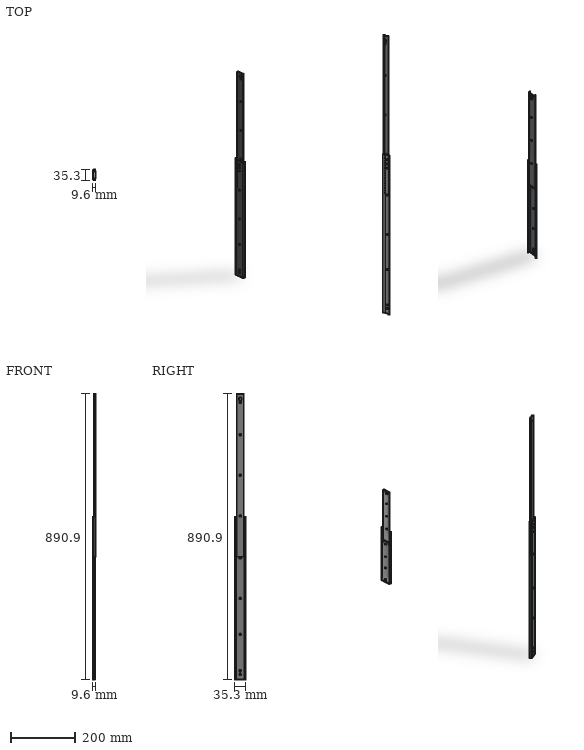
import cadquery as cq
import math


slide_depth = 9.6
slide_width = 35.3
slide_length = 890.9
rail_length = 508.0
sheet = 1.5

back = -slide_depth / 2
front = slide_depth / 2
outer_bottom = -slide_length / 2
inner_bottom = slide_length / 2 - rail_length

web_half_width = 13.4
slope_tilt = math.radians(41)
shoulder_depth = 2.37
flange_front = 3.0
corner_cut = 2.0

inner_half_width = 11.6
inner_flange_back = -1.4
bend_radius = 2.3

hole_diameter = 4.6
outer_hole_heights = [16.4, 28.0, 141.0, 253.6, 379.8, 465.5, 479.0, 492.5]
inner_hole_heights = [127.6, 254.5, 380.6]
keyhole_height = 491.8
keyhole_diameter = 9.0
keyhole_tail = 10.2


def outer_rail_outline(inset):
    """Half section line at `inset` inside the outer face: web end, then arc start, middle and end."""
    web_end_y = web_half_width - inset * math.tan(slope_tilt / 2)
    slope_start_y = web_half_width + shoulder_depth / math.tan(slope_tilt)
    radius = (slide_width / 2 - slope_start_y) / (1 - math.sin(slope_tilt))
    centre_x = back + shoulder_depth + radius * math.cos(slope_tilt)
    centre_y = slide_width / 2 - radius
    inset_radius = radius - inset
    end_x = flange_front - centre_x
    end_y = math.sqrt(inset_radius**2 - end_x**2)
    end_angle = math.atan2(end_y, -end_x)

    def on_arc(angle):
        return (centre_x - inset_radius * math.cos(angle), centre_y + inset_radius * math.sin(angle))

    middle_angle = (slope_tilt + end_angle) / 2
    return (back + inset, web_end_y), on_arc(slope_tilt), on_arc(middle_angle), on_arc(end_angle)


def mirrored(point):
    """The point on the opposite side of the section, across Y = 0."""
    return (point[0], -point[1])


def holes(diameter, bottom, heights):
    """Round cutters along X on the centre line, at the given heights above `bottom`."""
    return (
        cq.Workplane("YZ", origin=(0, 0, bottom))
        .pushPoints([(0, height) for height in heights])
        .circle(diameter / 2)
        .extrude(slide_depth, both=True)
    )


def make_outer_rail():
    web, start, middle, end = outer_rail_outline(0)
    in_web, in_start, in_middle, in_end = outer_rail_outline(sheet)
    rail = (
        cq.Workplane("XY", origin=(0, 0, outer_bottom))
        .moveTo(*mirrored(web))
        .lineTo(*web)
        .lineTo(*start)
        .threePointArc(middle, end)
        .lineTo(*in_end)
        .threePointArc(in_middle, in_start)
        .lineTo(*in_web)
        .lineTo(*mirrored(in_web))
        .lineTo(*mirrored(in_start))
        .threePointArc(mirrored(in_middle), mirrored(in_end))
        .lineTo(*mirrored(end))
        .threePointArc(mirrored(middle), mirrored(start))
        .close()
        .extrude(rail_length)
    )
    corner = (
        cq.Workplane("XZ")
        .moveTo(flange_front, outer_bottom)
        .lineTo(flange_front - corner_cut, outer_bottom)
        .lineTo(flange_front, outer_bottom + corner_cut)
        .close()
        .extrude(slide_width, both=True)
    )
    return rail.cut(corner).cut(holes(hole_diameter, outer_bottom, outer_hole_heights))


def make_inner_rail():
    depth = front - inner_flange_back
    middle_x = (front + inner_flange_back) / 2
    profile = cq.Workplane("XY", origin=(middle_x, 0, inner_bottom))
    rail = profile.rect(depth, 2 * inner_half_width).extrude(rail_length)
    rail = rail.edges("|Z and >X").fillet(bend_radius)
    channel = (
        profile.center(-sheet, 0)
        .rect(depth, 2 * (inner_half_width - sheet))
        .extrude(rail_length)
        .edges("|Z and >X")
        .fillet(bend_radius - sheet)
    )
    rail = rail.cut(channel).cut(holes(hole_diameter, inner_bottom, inner_hole_heights))

    tail_end_height = keyhole_height - keyhole_tail
    tail = cq.Workplane("XY").box(2 * slide_depth, hole_diameter, keyhole_tail)
    tail = tail.translate((0, 0, inner_bottom + (keyhole_height + tail_end_height) / 2))
    rail = rail.cut(holes(keyhole_diameter, inner_bottom, [keyhole_height]))
    return rail.cut(tail).cut(holes(hole_diameter, inner_bottom, [tail_end_height]))


outer_rail = make_outer_rail()
inner_rail = make_inner_rail()

result = cq.Compound.makeCompound([outer_rail.val(), inner_rail.val()])